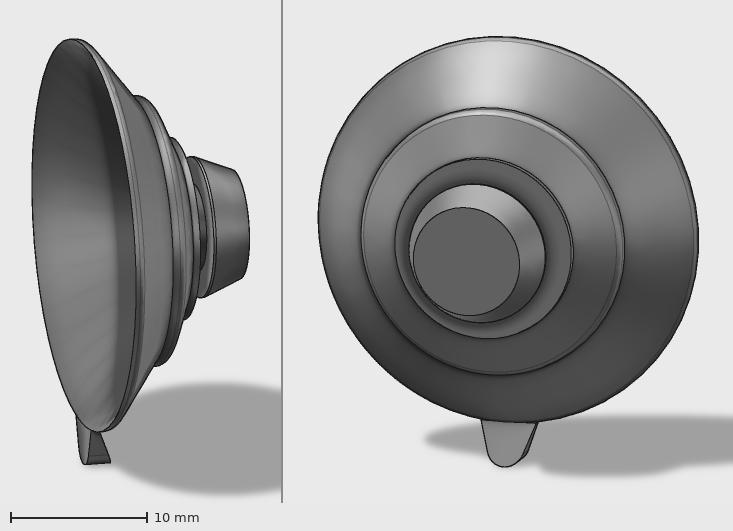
import cadquery as cq
import math

total_depth = 11.5
overall_height = 31.98

rim_radius = 14.5
rim_round = 0.48
shoulder_diameter = 20.0
shoulder_radius = shoulder_diameter / 2
shoulder_start = 4.05
shoulder_end = 5.0
shoulder_round = 0.58
collar_radius = 6.75
collar_start = 6.5
collar_end = 7.05
rim_corner_y = 0.58

floor_radius = 7.1
floor_depth = 5.95

neck_diameter = 6.5
head_radius = 5.2
head_top_radius = 4.05
head_start = 8.47
head_land = 0.2

tab_offset = -0.13
tab_tip_z = rim_radius - overall_height
tab_tip_radius = 1.45
tab_root_half_width = 2.1
tab_root_z = -14.35
tab_root_thickness = 0.6
tab_tip_thickness = 1.95
tab_overlap_z = -13.98


def make_body():
    """Revolve the cup, collar, neck and head as one profile of (radius, y) points."""
    profile = [
        (0, floor_depth),
        (floor_radius, floor_depth),
        (rim_radius, 0),
        (rim_radius, rim_corner_y),
        (shoulder_radius, shoulder_start),
        (shoulder_radius, shoulder_end),
        (collar_radius, collar_start),
        (collar_radius, collar_end),
        (neck_diameter / 2, collar_end),
        (neck_diameter / 2, head_start),
        (head_radius, head_start),
        (head_radius, head_start + head_land),
        (head_top_radius, total_depth),
        (0, total_depth),
    ]
    body = cq.Workplane("XY").polyline(profile).close().revolve(360, (0, 0, 0), (0, 1, 0))
    body = round_circle(body, rim_radius, rim_corner_y, rim_round)
    return round_circle(body, shoulder_radius, shoulder_end, shoulder_round)


def round_circle(body, radius, y, fillet_radius):
    """Fillet the circular edge of the given radius at height y."""
    margin = 0.03
    reach = radius + margin
    edges = body.edges(cq.selectors.BoxSelector(
        (-reach, y - margin, -reach), (reach, y + margin, reach), boundingbox=True))
    return edges.fillet(fillet_radius)


def make_tab():
    """Tapered tongue with a round tip, flush with the mouth and thicker towards the tip."""
    tip_center_z = tab_tip_z + tab_tip_radius
    root_height = tab_root_z - tip_center_z
    root_distance = math.hypot(tab_root_half_width, root_height)
    tangent_angle = (math.atan2(root_height, tab_root_half_width)
                     - math.acos(tab_tip_radius / root_distance))
    tangent_x = tab_tip_radius * math.cos(tangent_angle)
    tangent_z = tip_center_z + tab_tip_radius * math.sin(tangent_angle)

    outline = (
        cq.Workplane("XZ", origin=(tab_offset, 0, 0))
        .moveTo(-tab_root_half_width, tab_overlap_z)
        .lineTo(-tab_root_half_width, tab_root_z)
        .lineTo(-tangent_x, tangent_z)
        .threePointArc((0, tab_tip_z), (tangent_x, tangent_z))
        .lineTo(tab_root_half_width, tab_root_z)
        .lineTo(tab_root_half_width, tab_overlap_z)
        .close()
        .extrude(-tab_tip_thickness)
    )
    wedge = (
        cq.Workplane("YZ")
        .polyline([
            (0, tab_overlap_z),
            (tab_root_thickness, tab_overlap_z),
            (tab_root_thickness, tab_root_z),
            (tab_tip_thickness, tab_tip_z),
            (0, tab_tip_z),
        ])
        .close()
        .extrude(rim_radius, both=True)
    )
    hollow = cq.Solid.makeCone(
        rim_radius, floor_radius, floor_depth, pnt=cq.Vector(0, 0, 0), dir=cq.Vector(0, 1, 0))
    return outline.intersect(wedge).cut(cq.Workplane(hollow))


result = make_body().union(make_tab())